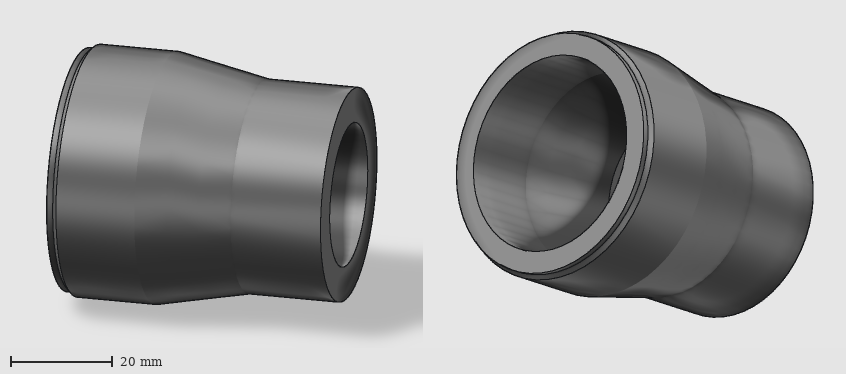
import cadquery as cq

length = 55.0
lip_end = 1.25
chamfer_end = 2.15
taper_start = 18.15
taper_end = 36.75
bore_taper_start = 16.0

body_diameter = 50.0
body_radius = body_diameter / 2
lip_radius = 24.15
spigot_radius = 21.25

large_bore_radius = 19.75
taper_bore_radius = 16.0
small_bore_radius = 14.3

profile = [
    (0, lip_radius),
    (lip_end, lip_radius),
    (chamfer_end, body_radius),
    (taper_start, body_radius),
    (taper_end, spigot_radius),
    (length, spigot_radius),
    (length, small_bore_radius),
    (taper_end, small_bore_radius),
    (taper_end, taper_bore_radius),
    (bore_taper_start, large_bore_radius),
    (0, large_bore_radius),
]

result = cq.Workplane("XY").polyline(profile).close().revolve(360, (0, 0, 0), (1, 0, 0))